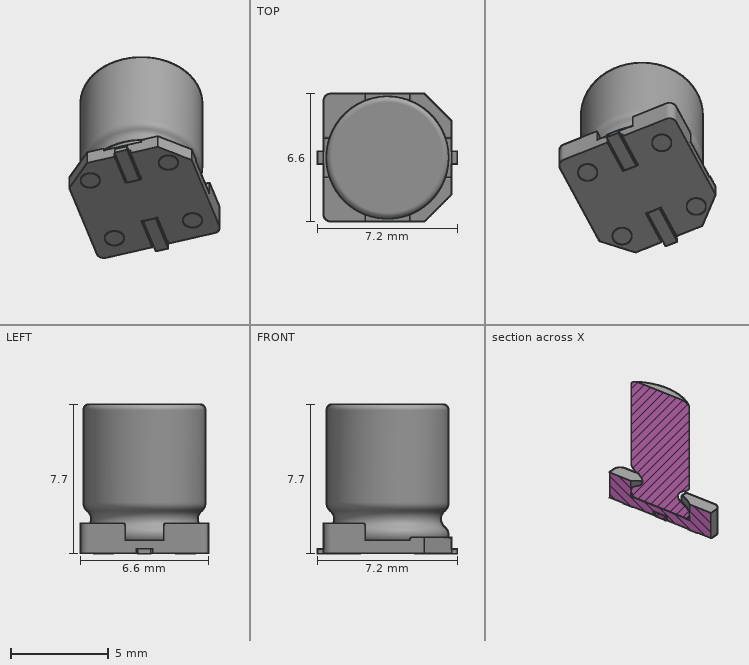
import cadquery as cq
import math

total_height = 7.7
lead_span = 7.2

base_side = 6.6
base_bottom = 0.03
floor_z = 0.7
seat_z = 0.615
tall_post_top = 1.58
short_post_top = 0.85
x_opening_width = 2.0
y_opening_width = 2.31
corner_radius = 0.39
corner_chamfer = 1.4
post_edge_radius = 0.1
foot_diameter = 1.0
foot_offset = 2.1

can_radius = 3.15
can_top_radius = 0.3
bead_radius = 0.54
arc_height = 0.415
wall_bottom = 2.63

lead_thickness = 0.255
lead_width = 0.67
lead_inner_x = 1.4
lead_slot_width = 0.86

half_side = base_side / 2
lead_length = lead_span / 2 - lead_inner_x
lead_middle_x = lead_inner_x + lead_length / 2


def make_can():
    """Revolved can with a rounded top and a crimped groove above a rolled bottom bead."""
    def inset(height):
        """Inward travel of a bead arc at a height from its widest level."""
        return bead_radius - math.sqrt(bead_radius**2 - height**2)

    quarter_depth = inset(arc_height)
    half_depth = inset(arc_height / 2)
    blend_radius = can_radius - quarter_depth
    neck_radius = can_radius - 2 * quarter_depth
    groove_top = wall_bottom - arc_height
    neck_z = groove_top - arc_height
    groove_bottom = neck_z - arc_height
    bead_z = groove_bottom - arc_height
    bead_drop = bead_z - seat_z
    seat_radius = can_radius - inset(bead_drop)
    upper_mid = (can_radius - half_depth, wall_bottom - arc_height / 2)

    return (
        cq.Workplane("XZ")
        .moveTo(0, seat_z)
        .lineTo(seat_radius, seat_z)
        .threePointArc((can_radius, bead_z), (blend_radius, groove_bottom))
        .threePointArc((neck_radius, neck_z), (blend_radius, groove_top))
        .threePointArc(upper_mid, (can_radius, wall_bottom))
        .lineTo(can_radius, total_height)
        .lineTo(0, total_height)
        .close()
        .revolve(360, (0, 0, 0), (0, 1, 0))
        .faces(">Z")
        .edges()
        .fillet(can_top_radius)
    )


def make_post(x_side, y_side, top_z):
    """Square corner post with its two top edges beside the openings rounded."""
    size_x = half_side - y_opening_width / 2
    size_y = half_side - x_opening_width / 2
    inner_x = "<X" if x_side > 0 else ">X"
    inner_y = "<Y" if y_side > 0 else ">Y"
    post = cq.Workplane("XY").box(size_x, size_y, top_z - base_bottom, centered=(True, True, False))
    post = post.faces(">Z").edges(inner_x).fillet(post_edge_radius)
    post = post.faces(">Z").edges(inner_y).fillet(post_edge_radius)
    return post.translate((
        x_side * (half_side - size_x / 2),
        y_side * (half_side - size_y / 2),
        base_bottom,
    ))


def make_lead_block(side, width):
    """Flat bar along X at one lead's place, reaching from its hidden end to its tip."""
    return (
        cq.Workplane("XY", origin=(side * lead_middle_x, 0, 0))
        .box(lead_length, width, lead_thickness, centered=(True, True, False))
    )


def make_base():
    """Seat plate with four corner posts, four feet and a slot for each lead."""
    base = (
        cq.Workplane("XY", origin=(0, 0, base_bottom))
        .rect(base_side, base_side)
        .extrude(floor_z - base_bottom)
    )
    for x_side, top_z in ((-1, tall_post_top), (1, short_post_top)):
        for y_side in (-1, 1):
            base = base.union(make_post(x_side, y_side, top_z))

    base = base.cut(cq.Workplane("XY", origin=(0, 0, seat_z)).circle(can_radius).extrude(total_height))

    footprint = (
        cq.Workplane("XY")
        .rect(base_side, base_side)
        .extrude(tall_post_top)
        .edges("|Z and <X")
        .fillet(corner_radius)
        .edges("|Z and >X")
        .chamfer(corner_chamfer)
    )
    base = base.intersect(footprint)

    feet = (
        cq.Workplane("XY")
        .rect(2 * foot_offset, 2 * foot_offset, forConstruction=True)
        .vertices()
        .circle(foot_diameter / 2)
        .extrude(base_bottom)
    )
    base = base.union(feet)

    for side in (-1, 1):
        base = base.cut(make_lead_block(side, lead_slot_width))
    return base


can = make_can()
base = make_base()
leads = [make_lead_block(side, lead_width) for side in (-1, 1)]

result = cq.Compound.makeCompound([can.val(), base.val(), *[lead.val() for lead in leads]])